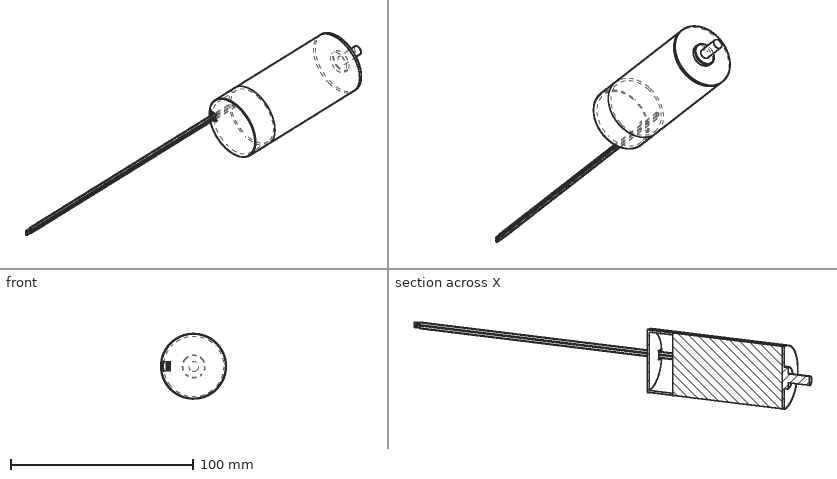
import cadquery as cq

TOTAL_LENGTH = 243.3
SHAFT_TIP_Y = TOTAL_LENGTH / 2
LEAD_TIP_Y = -TOTAL_LENGTH / 2

BODY_DIAMETER = 36.0
HOUSING_LENGTH = 65.7

FLANGE_THICKNESS = 1.5
BOSS_DIAMETER = 12.7
BOSS_HEIGHT = 2.2
SHAFT_DIAMETER = 5.4
SHAFT_PROJECTION = 13.0

EDGE_CHAMFER = 0.36

CAP_LENGTH = 15.3
CAP_WALL = 1.5
SLOT_LENGTH = 4.9
SLOT_HEIGHT = 5.0
SLOT_INNER_X = -12.7

LEAD_DIAMETER = 1.8
CONDUCTOR_DIAMETER = 1.2
BARE_LENGTH = 3.5
LEAD_X = -14.0

BOSS_FACE_Y = SHAFT_TIP_Y - SHAFT_PROJECTION
FLANGE_FACE_Y = BOSS_FACE_Y - BOSS_HEIGHT
HOUSING_FRONT_Y = FLANGE_FACE_Y - FLANGE_THICKNESS
HOUSING_REAR_Y = HOUSING_FRONT_Y - HOUSING_LENGTH
CAP_REAR_Y = HOUSING_REAR_Y - CAP_LENGTH
INSULATION_END_Y = LEAD_TIP_Y + BARE_LENGTH


def rod(diameter, rear_y, front_y, x=0.0, z=0.0):
    """Cylinder along Y between two planes."""
    base = cq.Workplane("XZ", origin=(x, front_y, z))
    return base.circle(diameter / 2).extrude(front_y - rear_y)


def make_front_unit():
    """Shaft, boss and flange turned as one piece, closing the front of the housing."""
    flange = rod(BODY_DIAMETER, HOUSING_FRONT_Y, FLANGE_FACE_Y)
    boss = rod(BOSS_DIAMETER, FLANGE_FACE_Y, BOSS_FACE_Y)
    boss = boss.faces(">Y").edges().chamfer(EDGE_CHAMFER)
    shaft = rod(SHAFT_DIAMETER, BOSS_FACE_Y, SHAFT_TIP_Y)
    return flange.union(boss).union(shaft)


def make_housing():
    """Plain solid barrel between the flange and the cap."""
    return rod(BODY_DIAMETER, HOUSING_REAR_Y, HOUSING_FRONT_Y)


def make_cap():
    """Cup closed at the rear, with a lead slot through its end wall that bites into the side wall."""
    cup = rod(BODY_DIAMETER, CAP_REAR_Y, HOUSING_REAR_Y)
    cup = cup.faces("<Y").edges().chamfer(EDGE_CHAMFER)
    cavity_diameter = BODY_DIAMETER - 2 * CAP_WALL
    cavity = rod(cavity_diameter, CAP_REAR_Y + CAP_WALL, HOUSING_REAR_Y)
    slot_center_x = SLOT_INNER_X - SLOT_LENGTH / 2
    slot_center_y = CAP_REAR_Y + CAP_WALL / 2
    slot = cq.Workplane("XY").box(SLOT_LENGTH, CAP_WALL, SLOT_HEIGHT)
    slot = slot.translate((slot_center_x, slot_center_y, 0))
    return cup.cut(cavity).cut(slot)


def make_conductor(z):
    """Metal core of one lead, bare at its rear tip."""
    return rod(CONDUCTOR_DIAMETER, LEAD_TIP_Y, HOUSING_REAR_Y, LEAD_X, z)


def make_insulation(z):
    """Sleeve around one conductor, running from the housing through the cap slot."""
    sleeve = rod(LEAD_DIAMETER, INSULATION_END_Y, HOUSING_REAR_Y, LEAD_X, z)
    return sleeve.cut(make_conductor(z))


front_unit = make_front_unit()
housing = make_housing()
cap = make_cap()

conductors = []
insulations = []
for side in (-1, 1):
    lead_z = side * LEAD_DIAMETER / 2
    conductors.append(make_conductor(lead_z).val())
    insulations.append(make_insulation(lead_z).val())

result = cq.Compound.makeCompound(
    [front_unit.val(), housing.val(), cap.val(), *insulations, *conductors]
)